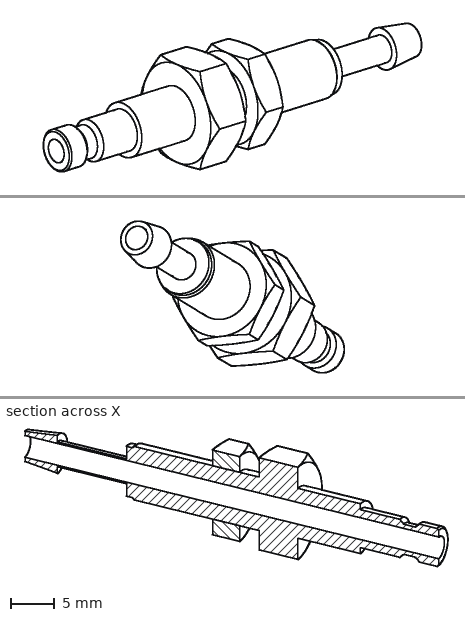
import cadquery as cq
import math

length = 53.0
bore_dia = 2.75

plug_dia = 5.0
plug_length = 10.0
plug_edge = 0.2
groove_dia = 4.0
groove_start = 2.5
groove_end = 5.0
groove_bevel = (plug_dia - groove_dia) / 2

sleeve_dia = 6.5
thread_dia = 7.0
thread_end = 39.0
thread_chamfer = (thread_dia - sleeve_dia) / 2
collar_end = 40.0

stem_dia = 3.3
barb_length = 4.2
barb_root_dia = plug_dia
barb_tip_dia = 4.0
barb_start = length - barb_length

hex_flats = 12.0
hex_start = 18.0
hex_end = 23.0
nut_flats = 11.0
nut_start = 25.5
nut_end = 29.0
corner_chamfer_angle = 30.0


def revolve_about_y(outline):
    """Revolve an outline of (radius, y) points about the Y axis."""
    return cq.Workplane("XY").polyline(outline).close().revolve(360, (0, 0, 0), (0, 1, 0))


def cylinder(diameter, start, end):
    """Cylinder along Y between two positions."""
    return cq.Workplane("XZ", origin=(0, start, 0)).circle(diameter / 2).extrude(start - end)


def hexagon(flats, start, end):
    """Hexagonal prism along Y, corners on X, with conical corner chamfers at both ends."""
    flat_radius = flats / 2
    corner_radius = flat_radius / math.cos(math.radians(30))
    chamfer_depth = (corner_radius - flat_radius) * math.tan(math.radians(corner_chamfer_angle))
    prism = (
        cq.Workplane("XZ", origin=(0, start, 0))
        .polygon(6, 2 * corner_radius)
        .extrude(start - end)
    )
    envelope = revolve_about_y([
        (0, start),
        (flat_radius, start),
        (corner_radius, start + chamfer_depth),
        (corner_radius, end - chamfer_depth),
        (flat_radius, end),
        (0, end),
    ])
    return prism.intersect(envelope)


def make_fitting():
    """Bored fitting: plug, sleeve, fixed hexagon, thread and barbed hose tail."""
    plug_radius = plug_dia / 2
    groove_radius = groove_dia / 2
    sleeve_radius = sleeve_dia / 2
    thread_radius = thread_dia / 2
    stem_radius = stem_dia / 2
    hex_middle = (hex_start + hex_end) / 2
    turned = revolve_about_y([
        (0, 0),
        (plug_radius - plug_edge, 0),
        (plug_radius, plug_edge),
        (plug_radius, groove_start),
        (groove_radius, groove_start + groove_bevel),
        (groove_radius, groove_end - groove_bevel),
        (plug_radius, groove_end),
        (plug_radius, plug_length),
        (sleeve_radius, plug_length),
        (sleeve_radius, hex_middle),
        (thread_radius, hex_middle),
        (thread_radius, thread_end),
        (sleeve_radius, thread_end + thread_chamfer),
        (sleeve_radius, collar_end),
        (stem_radius, collar_end),
        (stem_radius, barb_start),
        (barb_root_dia / 2, barb_start),
        (barb_tip_dia / 2, length),
        (0, length),
    ])
    solid = turned.union(hexagon(hex_flats, hex_start, hex_end))
    return solid.cut(cylinder(bore_dia, 0, length))


def make_lock_nut():
    """Hexagonal nut whose hole fits the thread."""
    return hexagon(nut_flats, nut_start, nut_end).cut(cylinder(thread_dia, nut_start, nut_end))


fitting = make_fitting()
lock_nut = make_lock_nut()

result = cq.Compound.makeCompound([fitting.val(), lock_nut.val()])